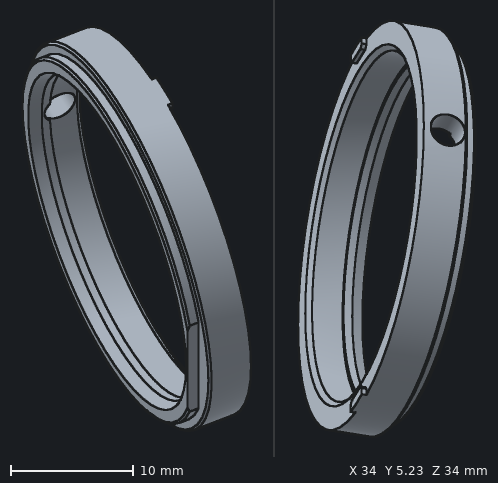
import cadquery as cq

body_radius = 17.0
neck_radius = 16.0
lip_radius = 14.297
mouth_radius = 14.72
bore_radius = 14.6

neck_length = 1.02
mouth_depth = 1.02
lip_end = 1.77
rear_face = 4.83
edge_chamfer = 0.2
rear_chamfer = 0.45

flat_distance = 15.0

hole_diameter = 2.92
hole_position = 2.75

tab_height = 0.4
tab_width = 3.03
tab_inner_radius = 16.0
tab_corner = 0.35


def make_ring():
    """Revolve the stepped wall section about the Y axis."""
    section = [
        (mouth_radius, 0),
        (neck_radius - edge_chamfer, 0),
        (neck_radius, edge_chamfer),
        (neck_radius, neck_length),
        (body_radius - edge_chamfer, neck_length),
        (body_radius, neck_length + edge_chamfer),
        (body_radius, rear_face),
        (bore_radius + rear_chamfer, rear_face),
        (bore_radius, rear_face - rear_chamfer),
        (bore_radius, lip_end),
        (lip_radius, lip_end),
        (lip_radius, mouth_depth),
    ]
    return cq.Workplane("XY").polyline(section).close().revolve(360, (0, 0), (0, 1))


def make_flat_cutter():
    """Block that trims the neck beyond the flat."""
    return cq.Workplane("XY").box(
        body_radius, neck_length, 2 * body_radius, centered=(False, False, True)
    ).translate((flat_distance, 0, 0))


def make_hole_cutter():
    """Cylinder running from the axis out through the -X wall."""
    return (
        cq.Workplane("YZ")
        .center(hole_position, 0)
        .circle(hole_diameter / 2)
        .extrude(-(body_radius + 0.35))
    )


def make_tab(side):
    """Tab with chamfered inner corners; side is +1 at the top, -1 at the bottom."""
    half_width = tab_width / 2
    outline = [
        (-half_width, body_radius),
        (-half_width, tab_inner_radius + tab_corner),
        (-half_width + tab_corner, tab_inner_radius),
        (half_width - tab_corner, tab_inner_radius),
        (half_width, tab_inner_radius + tab_corner),
        (half_width, body_radius),
    ]
    blank = (
        cq.Workplane("XZ", origin=(0, rear_face + tab_height, 0))
        .polyline([(x, side * z) for x, z in outline])
        .close()
        .extrude(2 * tab_height)
    )
    envelope = (
        cq.Workplane("XZ", origin=(0, rear_face + tab_height, 0))
        .circle(body_radius)
        .extrude(2 * tab_height)
    )
    return blank.intersect(envelope)


result = make_ring().cut(make_flat_cutter()).cut(make_hole_cutter())
for tab_side in (1, -1):
    result = result.union(make_tab(tab_side))